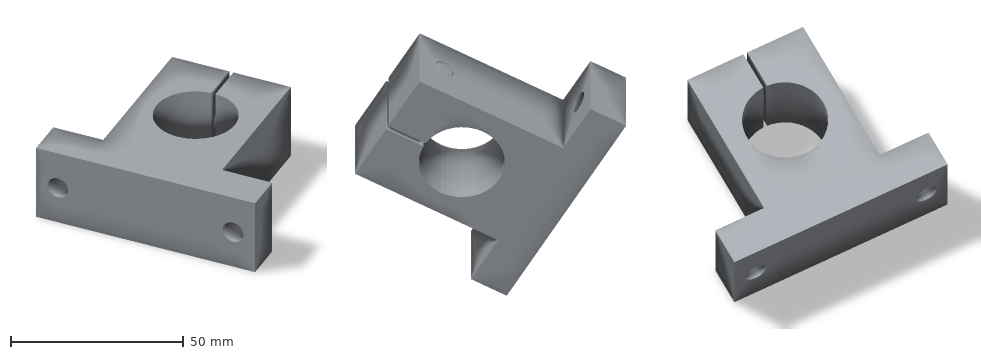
import cadquery as cq

base_length = 70.0
total_depth = 60.0
height = 24.0
base_thickness = 12.0
column_width = 38.0

bore_diameter = 25.0
bore_y = 35.0
slit_width = 1.25

mount_hole_diameter = 6.6
mount_hole_spacing = 56.0

screw_diameter = 6.0
screw_y = 51.65
tip_bevel = 0.3

mid_height = height / 2


def make_body():
    """T-shaped block with its mounting face on Y = 0."""
    base = cq.Workplane("XY").box(base_length, base_thickness, height, centered=(True, False, False))
    column = cq.Workplane("XY").box(column_width, total_depth, height, centered=(True, False, False))
    return base.union(column)


def make_bore():
    return cq.Workplane("XY").center(0, bore_y).circle(bore_diameter / 2).extrude(height)


def make_slit():
    """Slit from the bore centre out through the top of the column."""
    slit = cq.Workplane("XY").box(slit_width, total_depth - bore_y, height, centered=(True, False, False))
    return slit.translate((0, bore_y, 0))


def make_mount_holes():
    holes = cq.Workplane("XZ", origin=(0, 0, mid_height))
    holes = holes.pushPoints([(side * mount_hole_spacing / 2, 0) for side in (-1, 1)])
    return holes.circle(mount_hole_diameter / 2).extrude(-base_thickness)


def screw_cylinder(start_x, length):
    section = cq.Workplane("YZ", origin=(start_x, screw_y, mid_height))
    return section.circle(screw_diameter / 2).extrude(length)


def make_tip_groove():
    """Ring left between the screw hole and the bevelled screw tip."""
    hole_mouth = screw_cylinder(-column_width / 2, tip_bevel)
    bevelled_tip = screw_cylinder(-column_width / 2, 2 * tip_bevel).faces("<X").chamfer(tip_bevel)
    return hole_mouth.cut(bevelled_tip)


result = make_body().cut(make_bore()).cut(make_slit()).cut(make_mount_holes())

result = result.union(screw_cylinder(-slit_width, 2 * slit_width))
result = result.cut(make_tip_groove())